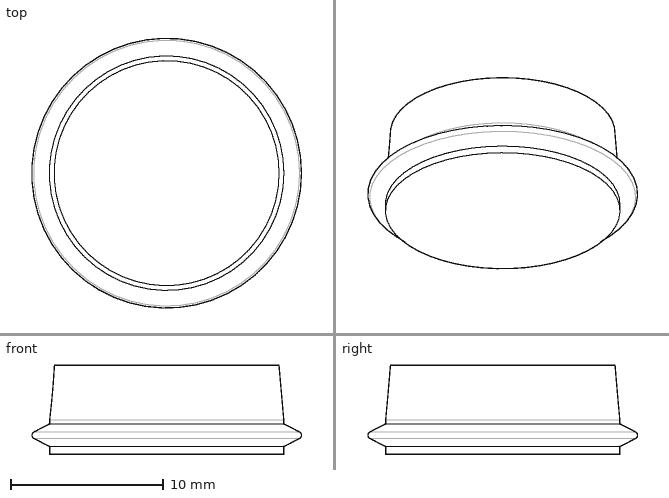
import cadquery as cq
import math

plug_height = 5.85
base_diameter = 15.38
base_height = 2.25
taper_angle = 5.0

ring_diameter = 17.7
ring_bottom = 0.5
ring_width = 1.5
edge_radius = 0.25

base_radius = base_diameter / 2
top_radius = base_radius - (plug_height - base_height) * math.tan(math.radians(taper_angle))


def make_plug():
    """Solid plug, revolved about Z."""
    return (
        cq.Workplane("XZ")
        .lineTo(base_radius, 0)
        .lineTo(base_radius, base_height)
        .lineTo(top_radius, plug_height)
        .lineTo(0, plug_height)
        .close()
        .revolve(360, (0, 0), (0, 1))
    )


def make_ring():
    """Ring whose sloping flanks run tangent into the rounded outer edge."""
    half_width = ring_width / 2
    middle = ring_bottom + half_width
    tip_radius = ring_diameter / 2
    arc_center = tip_radius - edge_radius

    reach = arc_center - base_radius
    corner_distance = math.hypot(reach, half_width)
    corner_angle = math.atan2(half_width, -reach)
    tangent_angle = corner_angle - math.acos(edge_radius / corner_distance)
    tangent_radius = arc_center + edge_radius * math.cos(tangent_angle)
    tangent_rise = edge_radius * math.sin(tangent_angle)

    return (
        cq.Workplane("XZ")
        .moveTo(base_radius, middle - half_width)
        .lineTo(tangent_radius, middle - tangent_rise)
        .threePointArc((tip_radius, middle), (tangent_radius, middle + tangent_rise))
        .lineTo(base_radius, middle + half_width)
        .close()
        .revolve(360, (0, 0), (0, 1))
    )


plug = make_plug()
ring = make_ring()

result = cq.Compound.makeCompound([plug.val(), ring.val()])